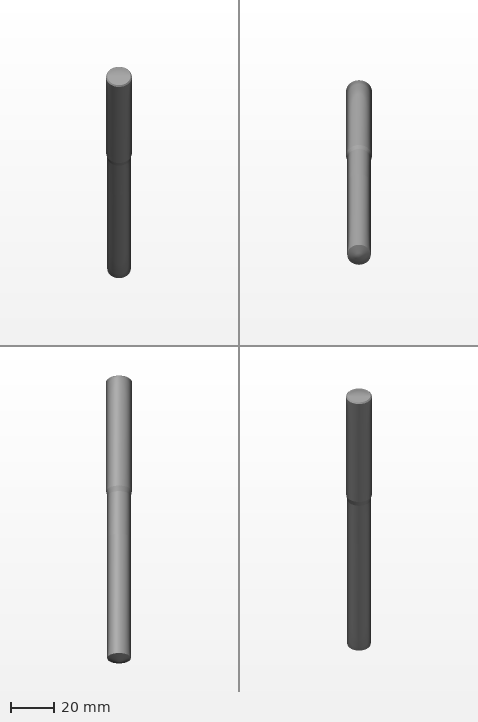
import cadquery as cq
import math

total_length = 146.0
shank_diameter = 12.0
drill_diameter = 11.0

drill_length = 64.0
neck_top = 86.0
shank_bottom = 88.6

point_angle = 140.0
end_chamfer_width = 0.6
end_chamfer_height = 0.6

shank_radius = shank_diameter / 2
drill_radius = drill_diameter / 2
point_height = drill_radius / math.tan(math.radians(point_angle / 2))


def make_holder():
    """Shank with a chamfered top end and a cone down to the plain neck."""
    profile = [
        (0, drill_length),
        (drill_radius, drill_length),
        (drill_radius, neck_top),
        (shank_radius, shank_bottom),
        (shank_radius, total_length - end_chamfer_height),
        (shank_radius - end_chamfer_width, total_length),
        (0, total_length),
    ]
    return cq.Workplane("XZ").polyline(profile).close().revolve(360, (0, 0), (0, 1))


def make_drill():
    """Cylindrical cutting part with a conical point."""
    profile = [
        (0, 0),
        (drill_radius, point_height),
        (drill_radius, drill_length),
        (0, drill_length),
    ]
    return cq.Workplane("XZ").polyline(profile).close().revolve(360, (0, 0), (0, 1))


holder = make_holder()
drill = make_drill()

result = cq.Compound.makeCompound([holder.val(), drill.val()])